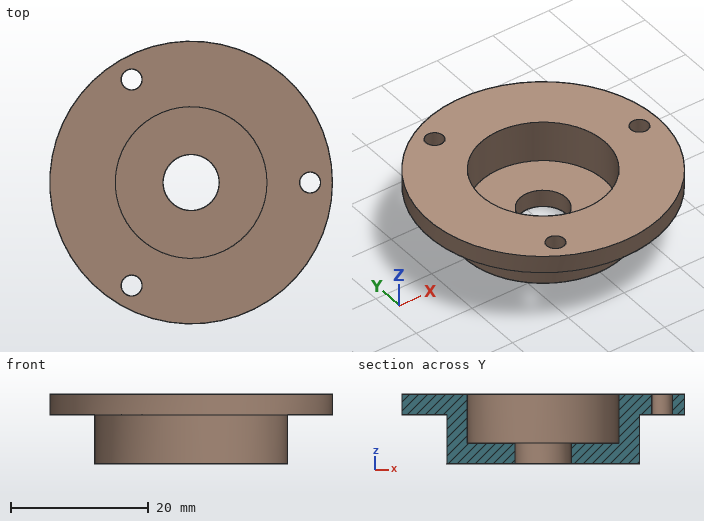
import cadquery as cq

flange_diameter = 41.02
flange_thickness = 3.0
total_height = 10.1
hub_diameter = 28.0
bearing_diameter = 22.0
bearing_depth = 7.1
shaft_hole_diameter = 8.1
screw_hole_diameter = 3.0
screw_circle_diameter = 34.5
screw_count = 3

hub_height = total_height - flange_thickness
floor_thickness = total_height - bearing_depth


def cylinder(diameter, height, base_z):
    """Upright cylinder on the Z axis, starting at base_z."""
    return cq.Workplane("XY").workplane(offset=base_z).circle(diameter / 2).extrude(height)


def screw_holes():
    """Through-flange cutters, evenly spaced with the first one on +X."""
    return (
        cq.Workplane("XY")
        .workplane(offset=hub_height)
        .polarArray(screw_circle_diameter / 2, 0, 360, screw_count)
        .circle(screw_hole_diameter / 2)
        .extrude(flange_thickness)
    )


hub = cylinder(hub_diameter, hub_height, 0)
flange = cylinder(flange_diameter, flange_thickness, hub_height)
body = hub.union(flange)

bearing_pocket = cylinder(bearing_diameter, bearing_depth, floor_thickness)
shaft_hole = cylinder(shaft_hole_diameter, floor_thickness, 0)

result = body.cut(bearing_pocket).cut(shaft_hole).cut(screw_holes())